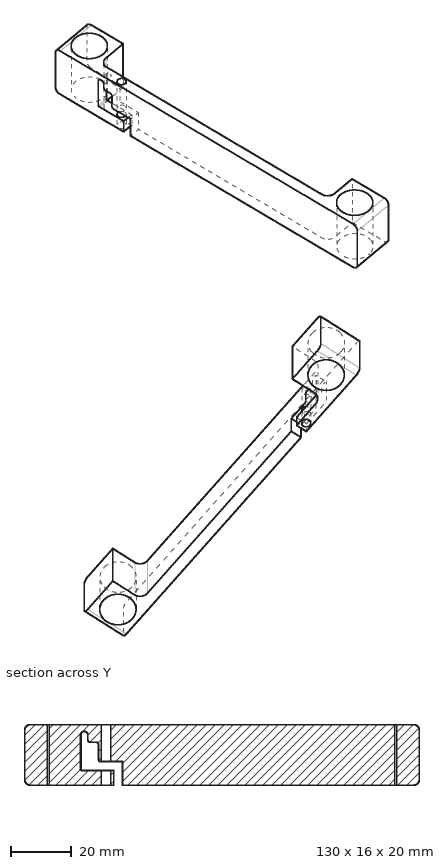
import cadquery as cq

length = 130.0
depth = 16.0
height = 20.0
corner_radius = 2.0

block_length = 15.7
bore_diameter = 12.0
bore_from_end = block_length / 2

plate_thickness = 4.0
inner_radius = 3.0

window_left = 18.5
finger_right = 20.8
step_right = 24.3
mouth_left = 29.4
mouth_right = 32.2
floor_z = 5.0
mouth_top = 7.8
step_top = 14.2
finger_top = 17.7
finger_radius = 1.0
step_radius = 0.8
floor_radius = 0.4

pin_diameter = 3.0
pin_x = 26.8
pin_y = plate_thickness / 2


def make_body():
    """Block with rounded ends, relieved behind the plate between the end blocks."""
    body = cq.Workplane("XY").box(length, depth, height, centered=False)
    body = body.edges("|Y").fillet(corner_radius)
    relief = (
        cq.Workplane("XY")
        .box(length - 2 * block_length, depth, height, centered=False)
        .edges("|Z and <Y")
        .fillet(inner_radius)
        .translate((block_length, plate_thickness, 0))
    )
    return body.cut(relief)


def vertical_hole(x, y, diameter):
    """Cylinder over the full height of the bar."""
    return cq.Workplane("XY").center(x, y).circle(diameter / 2).extrude(height)


def round_corner(window, x, z, radius):
    """Round the edge of the window that runs along Y through (x, z)."""
    corner = cq.selectors.NearestToPointSelector((x, plate_thickness / 2, z))
    return window.edges("|Y").edges(corner).fillet(radius)


def make_window():
    """Stepped opening through the plate thickness."""
    outline = [
        (mouth_left, 0),
        (mouth_left, floor_z),
        (window_left, floor_z),
        (window_left, finger_top),
        (finger_right, finger_top),
        (finger_right, step_top),
        (step_right, step_top),
        (step_right, mouth_top),
        (mouth_right, mouth_top),
        (mouth_right, 0),
    ]
    window = cq.Workplane("XZ").polyline(outline).close().extrude(-plate_thickness)
    rounded_corners = [
        (window_left, floor_z, floor_radius),
        (window_left, finger_top, finger_radius),
        (finger_right, finger_top, finger_radius),
        (finger_right, step_top, step_radius),
        (step_right, step_top, step_radius),
        (step_right, mouth_top, step_radius),
    ]
    for x, z, radius in rounded_corners:
        window = round_corner(window, x, z, radius)
    return window


result = make_body().cut(make_window())
for bore_x in (bore_from_end, length - bore_from_end):
    result = result.cut(vertical_hole(bore_x, depth / 2, bore_diameter))
result = result.cut(vertical_hole(pin_x, pin_y, pin_diameter))